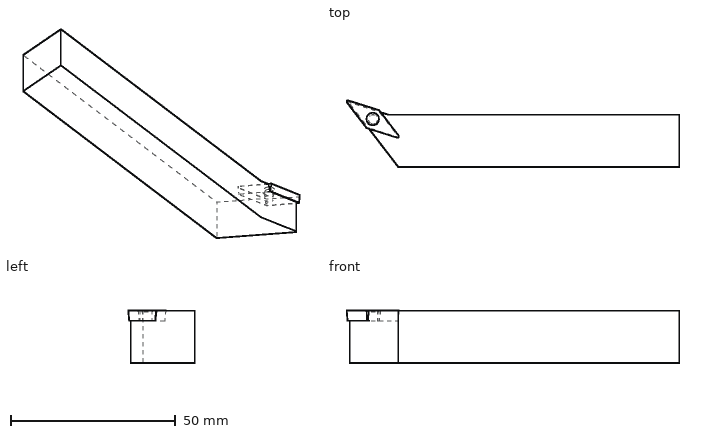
import cadquery as cq
import math


total_length = 101.09
total_width = 20.25
total_height = 16.0

insert_angle = 35.0
inscribed_diameter = 6.35
insert_thickness = 3.18
corner_radius = 0.4
relief_angle = 5.0
insert_rotation = 35.0

screw_head_diameter = 3.8
screw_shank_diameter = 2.8
countersink_angle = 90.0

shank_size = 15.875
insert_overhang = 0.45
nose_radius = 0.25

half_angle = math.radians(insert_angle / 2)
turn = math.radians(insert_rotation)
inscribed_radius = inscribed_diameter / 2
insert_bottom = total_height - insert_thickness

tip_distance = (inscribed_radius - corner_radius) / math.sin(half_angle)
tip_x = -tip_distance * math.cos(turn) - corner_radius
tip_y = tip_distance * math.sin(turn) + corner_radius
shank_end_x = tip_x + total_length
shank_front_y = tip_y - total_width
shank_rear_y = shank_front_y + shank_size

nose_inset = inscribed_radius - insert_overhang
nose_distance = nose_inset / math.sin(half_angle)
nose_x = -nose_distance * math.cos(turn)
nose_y = nose_distance * math.sin(turn)
rear_edge_slope = math.tan(turn - half_angle)
front_edge_slope = math.tan(turn + half_angle)


def make_insert_blank():
    """Diamond with two rounded tips and without its screw hole, narrowing downwards by the relief angle."""
    long_half = inscribed_radius / math.sin(half_angle)
    short_half = inscribed_radius / math.cos(half_angle)
    diamond = (
        cq.Sketch()
        .polygon([(-long_half, 0), (0, short_half), (long_half, 0), (0, -short_half), (-long_half, 0)])
        .vertices("<X or >X")
        .fillet(corner_radius)
    )
    return (
        cq.Workplane("XY")
        .placeSketch(diamond)
        .extrude(-insert_thickness, taper=relief_angle)
        .rotate((0, 0, 0), (0, 0, 1), -insert_rotation)
        .translate((0, 0, total_height))
    )


def make_screw():
    """Countersunk post from the insert's seat up to the insert's top face."""
    head_radius = screw_head_diameter / 2
    shank_radius = screw_shank_diameter / 2
    head_depth = (head_radius - shank_radius) / math.tan(math.radians(countersink_angle / 2))
    return (
        cq.Workplane("XZ")
        .moveTo(0, insert_bottom)
        .lineTo(shank_radius, insert_bottom)
        .lineTo(shank_radius, total_height - head_depth)
        .lineTo(head_radius, total_height)
        .lineTo(0, total_height)
        .close()
        .revolve(360, (0, 0, 0), (0, 1, 0))
    )


def make_holder(insert_blank, screw):
    """Square shank with a pointed nose, the insert's pocket and the screw standing in it."""
    rear_corner_x = nose_x + (nose_y - shank_rear_y) / rear_edge_slope
    front_corner_x = nose_x + (nose_y - shank_front_y) / front_edge_slope
    body = (
        cq.Workplane("XY")
        .moveTo(nose_x, nose_y)
        .lineTo(rear_corner_x, shank_rear_y)
        .lineTo(shank_end_x, shank_rear_y)
        .lineTo(shank_end_x, shank_front_y)
        .lineTo(front_corner_x, shank_front_y)
        .close()
        .extrude(shank_size)
        .edges("|Z and <X")
        .fillet(nose_radius)
    )
    return body.cut(insert_blank).union(screw)


insert_blank = make_insert_blank()
screw = make_screw()
insert = insert_blank.cut(screw)
holder = make_holder(insert_blank, screw)

result = cq.Compound.makeCompound([holder.val(), insert.val()])